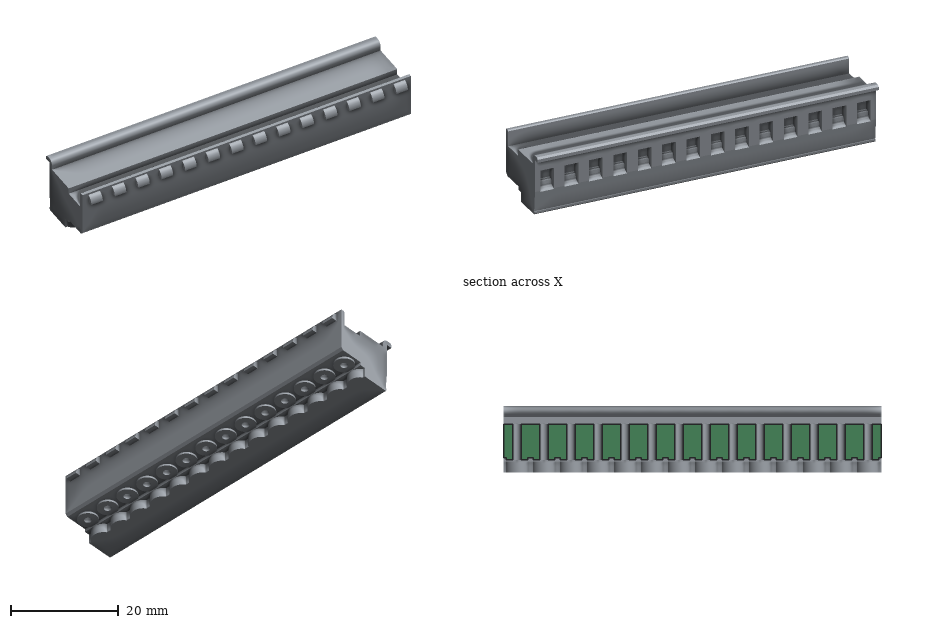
import cadquery as cq

length = 70.0
pole_count = 14
pitch = length / pole_count

height = 12.3
shelf_z = 10.3
trough_z = 9.0
wall_break_z = 4.75
base_z = 2.7
foot_lip_z = 0.6
foot_bevel = 0.2

wall_x = 1.2
lip_inner_x = 2.25
foot_x = 1.3
foot_neck_x = 1.55
foot_end_x = 7.2
base_start_x = 8.3
trough_x = 8.5
rib_inner_x = 12.75
rib_outer_x = 13.6
bottom_chamfer = 0.5
rib_bevel = 0.2

lip_bevel = 0.35
lip_thickness = 1.0
lip_radius = 1.1

barrel_height = 2.0
barrel_radius = 2.45
boss_radius = 2.0
boss_z = 2.3

latch_width = 2.45
latch_tip_x = 14.7
latch_bottom_z = 10.3
latch_top_z = 11.9
latch_bulge = (14.4, 11.3)

hole_diameter = 1.5
hole_x = 10.15

pocket_width = 2.8
entry_bottom_z = 4.55
entry_top_z = 8.95
ceiling_z = 8.75
floor_end = (2.0, 5.0)
cove_middle = (2.2, 5.1)
cove_end = (2.25, 5.4)
ledge_start = (2.4, 6.1)
ledge_step_x = 2.8
ledge_top_z = 6.3
pocket_back_x = 3.15

pole_centres = [(i + 0.5) * pitch - length / 2 for i in range(pole_count)]


def extrude_along_y(section, width):
    """Extrude an XZ section symmetrically about Y = 0."""
    return section.extrude(width / 2, both=True)


def at_each_pole(shape):
    """Copy a shape centred on Y = 0 to every pole."""
    copies = cq.Workplane("XY")
    for y in pole_centres:
        copies = copies.add(shape.translate((0, y, 0)).vals())
    return copies


def make_body():
    """Full-length section with the hooked lip, shelf, trough, rib and foot."""
    section = (
        cq.Workplane("XZ")
        .moveTo(foot_x + foot_bevel, 0)
        .lineTo(foot_end_x, 0)
        .lineTo(foot_end_x, barrel_height)
        .lineTo(base_start_x, barrel_height)
        .lineTo(base_start_x, base_z)
        .lineTo(rib_outer_x - bottom_chamfer, base_z)
        .lineTo(rib_outer_x, base_z + bottom_chamfer)
        .lineTo(rib_outer_x, height)
        .lineTo(rib_inner_x + rib_bevel, height)
        .lineTo(rib_inner_x, height - rib_bevel)
        .lineTo(rib_inner_x, trough_z)
        .lineTo(trough_x, trough_z)
        .lineTo(trough_x, shelf_z)
        .lineTo(lip_inner_x, shelf_z)
        .lineTo(lip_inner_x, height - lip_radius)
        .radiusArc((lip_inner_x - lip_radius, height), -lip_radius)
        .lineTo(lip_bevel, height)
        .lineTo(0, height - lip_bevel)
        .lineTo(0, height - lip_thickness)
        .lineTo(wall_x, height - lip_thickness)
        .lineTo(wall_x, wall_break_z)
        .lineTo(foot_neck_x, foot_lip_z)
        .lineTo(foot_x, foot_lip_z)
        .lineTo(foot_x, foot_bevel)
        .close()
    )
    return extrude_along_y(section, length)


def make_upright_cylinder(x, radius, bottom_z, top_z):
    """Vertical cylinder centred on Y = 0."""
    return cq.Workplane("XY", origin=(x, 0, bottom_z)).circle(radius).extrude(top_z - bottom_z)


def make_latch():
    """Latch tab with a flat underside and a rounded back."""
    section = (
        cq.Workplane("XZ")
        .moveTo(rib_outer_x, latch_bottom_z)
        .lineTo(latch_tip_x, latch_bottom_z)
        .threePointArc(latch_bulge, (rib_outer_x, latch_top_z))
        .close()
    )
    return extrude_along_y(section, latch_width)


def make_pocket():
    """Entry with a sloped floor, a coved riser and a stepped ledge behind it."""
    section = (
        cq.Workplane("XZ")
        .moveTo(0, entry_bottom_z)
        .lineTo(wall_x, entry_bottom_z)
        .lineTo(*floor_end)
        .threePointArc(cove_middle, cove_end)
        .lineTo(*ledge_start)
        .lineTo(ledge_step_x, ledge_start[1])
        .lineTo(ledge_step_x, ledge_top_z)
        .lineTo(pocket_back_x, ledge_top_z)
        .lineTo(pocket_back_x, ceiling_z)
        .lineTo(wall_x, entry_top_z)
        .lineTo(0, entry_top_z)
        .close()
    )
    return extrude_along_y(section, pocket_width)


barrel = make_upright_cylinder(base_start_x - barrel_radius, barrel_radius, 0, barrel_height)
boss = make_upright_cylinder(hole_x, boss_radius, boss_z, base_z)
screw_hole = make_upright_cylinder(hole_x, hole_diameter / 2, 0, height)

result = make_body()
for added in (barrel, boss, make_latch()):
    result = result.union(at_each_pole(added).combine())
for removed in (make_pocket(), screw_hole):
    result = result.cut(at_each_pole(removed).combine())